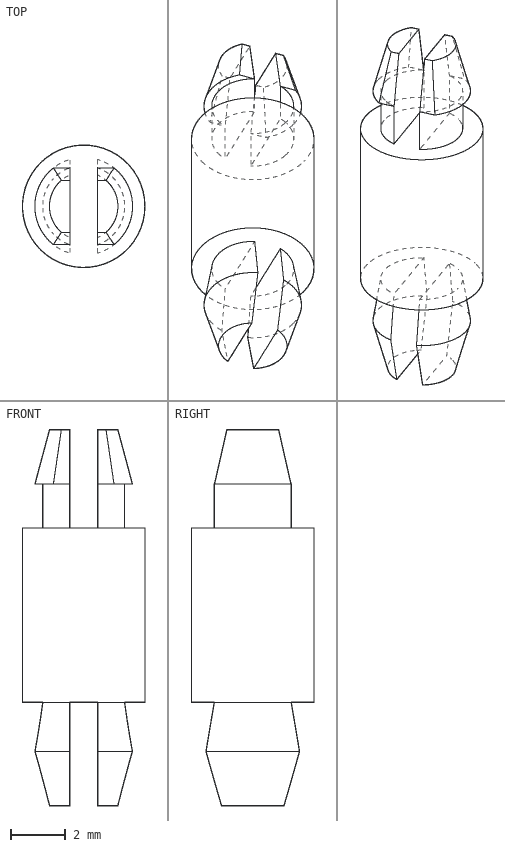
import cadquery as cq

lower_tip_height = 2.0
lower_flare_height = 1.8
body_height = 6.4
neck_height = 1.6
upper_barb_height = 2.0

body_radius = 4.5 / 2
neck_radius = 1.5
barb_radius = 1.8
tip_radius = 1.25

slot_width = 1.02

flat_offset_base = 1.41
flat_offset_tip = 0.95

lower_barb_z = lower_tip_height
body_bottom_z = lower_barb_z + lower_flare_height
body_top_z = body_bottom_z + body_height
upper_barb_z = body_top_z + neck_height
top_z = upper_barb_z + upper_barb_height


def revolve_profile(points):
    """Revolve a closed (radius, height) outline about the Z axis."""
    return cq.Workplane("XZ").polyline(points).close().revolve(360, (0, 0), (0, 1))


def split_prong(prong, bottom_z, height):
    """Cut a slot along Y through the full height of a prong."""
    slot = (
        cq.Workplane("XY", origin=(0, 0, bottom_z))
        .rect(slot_width, 2 * body_radius)
        .extrude(height)
    )
    return prong.cut(slot)


def make_body():
    return cq.Workplane("XY", origin=(0, 0, body_bottom_z)).circle(body_radius).extrude(body_height)


def make_lower_prong():
    prong = revolve_profile([
        (0, 0),
        (tip_radius, 0),
        (barb_radius, lower_barb_z),
        (neck_radius, body_bottom_z),
        (0, body_bottom_z),
    ])
    return split_prong(prong, 0, body_bottom_z)


def make_upper_prong():
    barb = revolve_profile([
        (0, upper_barb_z),
        (barb_radius, upper_barb_z),
        (tip_radius, top_z),
        (0, top_z),
    ])
    wedge = (
        cq.Workplane("YZ")
        .polyline([
            (-flat_offset_base, upper_barb_z),
            (flat_offset_base, upper_barb_z),
            (flat_offset_tip, top_z),
            (-flat_offset_tip, top_z),
        ])
        .close()
        .extrude(barb_radius, both=True)
    )
    neck = cq.Workplane("XY", origin=(0, 0, body_top_z)).circle(neck_radius).extrude(neck_height)
    prong = neck.union(barb.intersect(wedge))
    return split_prong(prong, body_top_z, top_z - body_top_z)


result = make_body().union(make_lower_prong()).union(make_upper_prong())